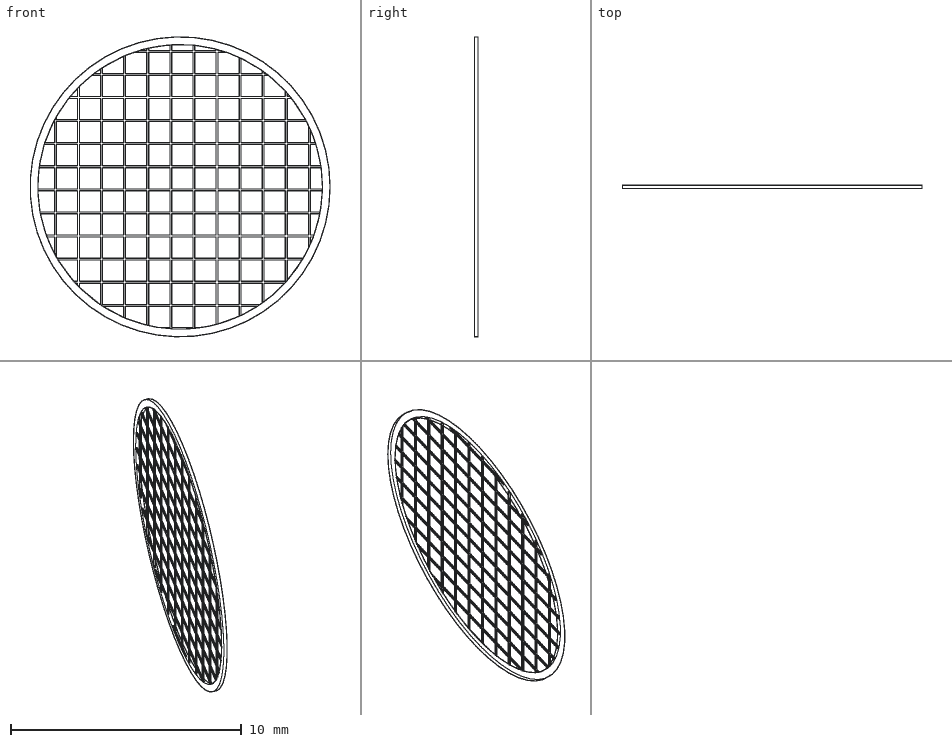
import cadquery as cq
import math

outer_diameter = 13.0
inner_diameter = 12.32
thickness = 0.15

pitch = outer_diameter / 13
bar_width = 0.09
bar_depth = 0.05
bar_centre_y = thickness / 4
upright_offset = 0.6
crossbar_offset = -0.13

inner_radius = inner_diameter / 2
grid_diameter = (outer_diameter + inner_diameter) / 2


def y_disc(diameter, depth, centre_y):
    """Disc with its axis along Y, centred at the given Y."""
    return cq.Workplane("XZ", origin=(0, centre_y + depth / 2, 0)).circle(diameter / 2).extrude(depth)


def bar_positions(offset):
    """Bar centres, one pitch apart and passing through offset, that lie inside the opening."""
    first = math.ceil((-inner_radius - offset) / pitch)
    last = math.floor((inner_radius - offset) / pitch)
    return [offset + step * pitch for step in range(first, last + 1)]


def make_grid():
    """Crossed upright and horizontal bars, trimmed to a circle within the rim."""
    back = cq.Workplane("XZ", origin=(0, bar_centre_y + bar_depth / 2, 0))
    uprights = back.pushPoints([(x, 0) for x in bar_positions(upright_offset)])
    uprights = uprights.rect(bar_width, outer_diameter).extrude(bar_depth)
    crossbars = back.pushPoints([(0, z) for z in bar_positions(crossbar_offset)])
    crossbars = crossbars.rect(outer_diameter, bar_width).extrude(bar_depth)
    return uprights.union(crossbars).intersect(y_disc(grid_diameter, bar_depth, bar_centre_y))


rim = y_disc(outer_diameter, thickness, 0).cut(y_disc(inner_diameter, thickness, 0))
result = rim.union(make_grid())